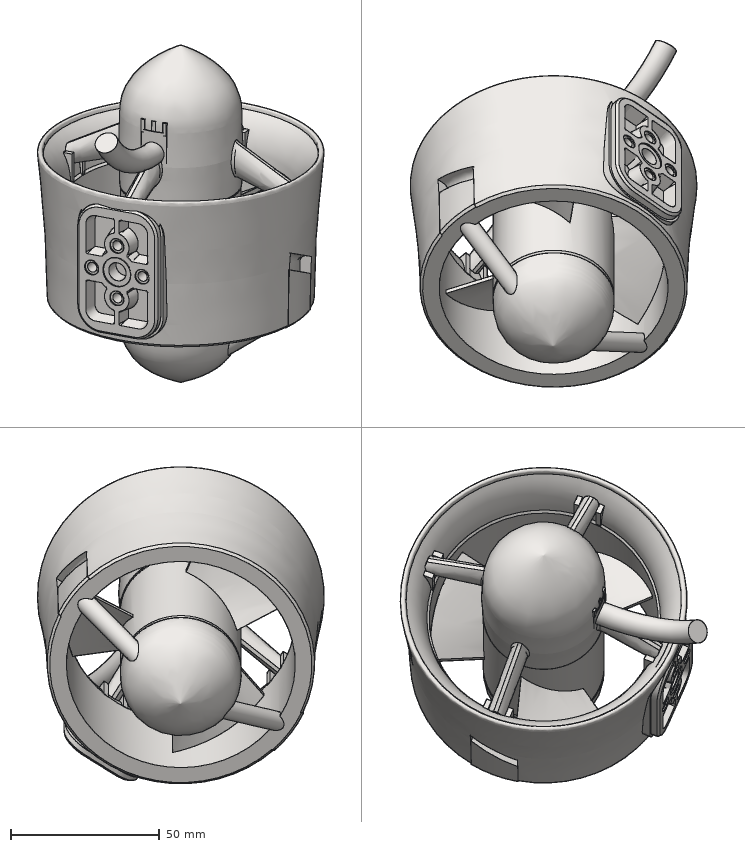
import cadquery as cq
import math

OVERLAP = 1.0

DUCT_HEIGHT = 54.0
DUCT_TOP_RADIUS = 48.385
DUCT_UPPER_BREAK_Z = 35.8
DUCT_UPPER_BREAK_RADIUS = 46.8
DUCT_LOWER_BREAK_Z = 23.3
DUCT_LOWER_BREAK_RADIUS = 45.8
DUCT_BOTTOM_RADIUS = 45.1
DUCT_BOTTOM_ROUND = 0.9
LIP_WIDTH = 2.0
LIP_HEIGHT = 1.5
THROAT_RADIUS = 38.6
THROAT_TOP_Z = 36.8
THROAT_CHAMFER = 0.8
INLET_MID_RADIUS = 41.2
INLET_MID_Z = 45.5

BODY_RADIUS = 20.6
BODY_SHOULDER_RADIUS = 21.0
BODY_SHOULDER_Z = 55.6
ROTOR_RADIUS = 20.4
ROTOR_CHAMFER = 0.6
NOSE_BASE_Z = 68.0
NOSE_LENGTH = 24.0
STATOR_BOTTOM_Z = 41.6
SEAM_DEPTH = 0.5
SEAM_HEIGHT = 0.6
ROTOR_BOTTOM_Z = -4.9
TAIL_TOP_Z = -5.7
TAIL_BASE_Z = -8.0
TAIL_LENGTH = 22.5
SHOULDER_RADIUS_FRACTION = 0.70
NOSE_SHOULDER_FRACTION = 0.585
TAIL_SHOULDER_FRACTION = 0.635
OGIVE_TIP_SLOPE = 0.5

STRUT_COUNT = 4
STRUT_WIDTH = 6.0
STRUT_RIDGE_WIDTH = 1.4
STRUT_ROOT_FLARE = 0.7
STRUT_TIP_RADIUS = 42.5
STRUT_ROOT_TOP_Z = 60.9
STRUT_TIP_TOP_Z = 49.1
STRUT_ROOT_BOTTOM_Z = 48.5
STRUT_TIP_BOTTOM_Z = 41.5
GUIDE_HALF_SPAN = 4.9
GUIDE_THICKNESS = 1.8
GUIDE_BOTTOM_Z = 31.0
GUIDE_TOP_Z = 47.3
GUIDE_DEPTH = 4.0

LEG_RADIUS = 3.3
LEG_CENTRE_AT_RIM = 36.2
LEG_SLOPE = 0.735
LEG_OUTER_RADIUS = 42.0
LEG_INNER_RADIUS = 14.0
FOOT_WIDTH = 17.0
FOOT_OFFSET = 0.4
FOOT_FACE_RADIUS = 45.4
RECESS_CENTRE_Z = 23.7
RECESS_HEIGHT = 6.2
RECESS_RISE = 7.4
RECESS_DEPTH = 4.0
RECESS_CEILING_ROUND = 2.4

BLADE_COUNT = 3
BLADE_TIP_RADIUS = 38.2
BLADE_THICKNESS = 1.8
BLADE_ROOT_Y = 15.0
BLADE_END_Y = 40.0
BLADE_HIGH_EDGE_Z = 31.5
BLADE_LOW_EDGE_Z = 12.5
BLADE_ROOT_EDGES = (9.4, -10.3)
BLADE_END_EDGES = (15.2, -22.1)

PAD_FACE_Y = -DUCT_TOP_RADIUS
PAD_CENTRE_Z = 26.7
PAD_WIDTH = 30.2
PAD_HEIGHT = 46.4
PAD_CORNER_RADIUS = 8.8
PAD_SKIRT = 0.9
PAD_SKIRT_HEIGHT = 3.0
PAD_ROOT_Y = -41.0
PAD_ROOT_RADIUS = 44.6
PAD_EDGE_CHAMFER = 0.8
SCREW_COUNT = 4
HOLE_CIRCLE_RADIUS = 9.5
SCREW_HOLE_DIAMETER = 3.5
SCREW_MOUTH_DIAMETER = 5.2
CENTRE_HOLE_DIAMETER = 6.5
CENTRE_MOUTH_DIAMETER = 10.4
MOUTH_DEPTH = 0.5
HOLE_DEPTH = 6.0
POCKET_DEPTH = 5.0
POCKET_DRAFT = 11.0
POCKET_INNER_X = 0.9
POCKET_OUTER_X = 11.6
POCKET_INNER_HEIGHT = 4.8
POCKET_OUTER_HEIGHT = 19.1
POCKET_CORNER_RADIUS = 3.5
POCKET_SMALL_RADIUS = 0.6
SCREW_BOSS_RADIUS = 4.6
CENTRE_BOSS_RADIUS = 7.4

CABLE_RADIUS = 3.95
CABLE_Z = 60.2
CABLE_BEND_START_Y = -21.8
CABLE_BEND_RADIUS = 44.6
CABLE_BEND_ANGLE = 50.5
COVER_WIDTH = 9.6
COVER_BOTTOM_Z = 56.0
COVER_PROUD = 0.35
HOOK_WIDTH = 1.4
HOOK_TOP_Z = 71.6
HOOK_FACE_Y = -20.6


def ring_solid(radius, bottom, top):
    return cq.Workplane("XY").workplane(offset=bottom).circle(radius).extrude(top - bottom)


def y_plane(y, z=0.0):
    """Sketch plane facing -Y: local x is +X, local y is +Z, extrusion runs toward -Y."""
    return cq.Workplane("XZ", origin=(0, y, z))


def box_between(x_range, y_range, z_range):
    size = [r[1] - r[0] for r in (x_range, y_range, z_range)]
    return cq.Workplane("XY").box(*size, centered=False).translate((x_range[0], y_range[0], z_range[0]))


def duct():
    lip_z = DUCT_HEIGHT - LIP_HEIGHT
    lip_inner = DUCT_TOP_RADIUS - LIP_WIDTH
    return (
        cq.Workplane("XZ")
        .moveTo(THROAT_RADIUS, 0)
        .lineTo(DUCT_BOTTOM_RADIUS - DUCT_BOTTOM_ROUND, 0)
        .lineTo(DUCT_BOTTOM_RADIUS, DUCT_BOTTOM_ROUND)
        .lineTo(DUCT_LOWER_BREAK_RADIUS, DUCT_LOWER_BREAK_Z)
        .lineTo(DUCT_UPPER_BREAK_RADIUS, DUCT_UPPER_BREAK_Z)
        .lineTo(DUCT_TOP_RADIUS, lip_z)
        .spline(
            [(DUCT_TOP_RADIUS - LIP_WIDTH / 2, DUCT_HEIGHT), (lip_inner, lip_z)],
            tangents=[(0, 1), (0, -1)],
            includeCurrent=True,
        )
        .threePointArc(
            (INLET_MID_RADIUS, INLET_MID_Z), (THROAT_RADIUS + THROAT_CHAMFER, THROAT_TOP_Z + THROAT_CHAMFER)
        )
        .lineTo(THROAT_RADIUS, THROAT_TOP_Z)
        .close()
        .revolve(360, (0, 0, 0), (0, 1, 0))
    )


def ogive(radius, base_z, signed_length, shoulder_fraction):
    """Pointed end cap; it starts parallel to the axis and meets it at an angle."""
    tip_z = base_z + signed_length
    direction = math.copysign(1, signed_length)
    shoulder = (radius * SHOULDER_RADIUS_FRACTION, base_z + signed_length * shoulder_fraction)
    return (
        cq.Workplane("XZ")
        .moveTo(0, base_z)
        .lineTo(radius, base_z)
        .spline(
            [shoulder, (0, tip_z)],
            tangents=[(0, direction), (-1, direction * OGIVE_TIP_SLOPE)],
            includeCurrent=True,
        )
        .close()
        .revolve(360, (0, 0, 0), (0, 1, 0))
    )


def centre_body():
    seam_bottom = STATOR_BOTTOM_Z - SEAM_HEIGHT
    body = (
        cq.Workplane("XZ")
        .moveTo(0, STATOR_BOTTOM_Z)
        .lineTo(BODY_RADIUS, STATOR_BOTTOM_Z)
        .lineTo(BODY_SHOULDER_RADIUS, BODY_SHOULDER_Z)
        .lineTo(BODY_RADIUS, NOSE_BASE_Z)
        .lineTo(0, NOSE_BASE_Z)
        .close()
        .revolve(360, (0, 0, 0), (0, 1, 0))
    )
    body = body.union(ogive(BODY_RADIUS, NOSE_BASE_Z, NOSE_LENGTH, NOSE_SHOULDER_FRACTION))
    body = body.union(ring_solid(ROTOR_RADIUS - SEAM_DEPTH, seam_bottom, STATOR_BOTTOM_Z))
    rotor = ring_solid(ROTOR_RADIUS, ROTOR_BOTTOM_Z, seam_bottom).faces("<Z").chamfer(ROTOR_CHAMFER)
    return body.union(rotor)


def tail_cone():
    collar = ring_solid(ROTOR_RADIUS, TAIL_BASE_Z, TAIL_TOP_Z)
    return collar.union(ogive(ROTOR_RADIUS, TAIL_BASE_Z, -TAIL_LENGTH, TAIL_SHOULDER_FRACTION))


def strut_section(radius, growth=0.0):
    """Cross-section wire at a distance from the axis: a tall lens with flat upper and lower edges."""
    along = (radius - BODY_RADIUS) / (STRUT_TIP_RADIUS - BODY_RADIUS)
    top = STRUT_ROOT_TOP_Z + along * (STRUT_TIP_TOP_Z - STRUT_ROOT_TOP_Z) + growth
    bottom = STRUT_ROOT_BOTTOM_Z + along * (STRUT_TIP_BOTTOM_Z - STRUT_ROOT_BOTTOM_Z) - growth
    half = STRUT_WIDTH / 2 + growth
    half_ridge = STRUT_RIDGE_WIDTH / 2
    middle = (top + bottom) / 2
    return (
        cq.Workplane("YZ", origin=(radius, 0, 0))
        .moveTo(-half_ridge, bottom)
        .threePointArc((-half, middle), (-half_ridge, top))
        .lineTo(half_ridge, top)
        .threePointArc((half, middle), (half_ridge, bottom))
        .close()
        .val()
    )


def upper_strut():
    """Bar along +X from the flared root at the centre body to the duct, with two posts beside its tip."""
    root = BODY_RADIUS - STRUT_ROOT_FLARE
    flare_end = BODY_SHOULDER_RADIUS + STRUT_ROOT_FLARE
    bar = cq.Workplane(cq.Solid.makeLoft([strut_section(root), strut_section(STRUT_TIP_RADIUS)], True))
    flare = cq.Solid.makeLoft([strut_section(root, STRUT_ROOT_FLARE), strut_section(flare_end)], True)
    bar = bar.union(cq.Workplane(flare))
    for side in (-1, 1):
        across = sorted((side * GUIDE_HALF_SPAN, side * (GUIDE_HALF_SPAN - GUIDE_THICKNESS)))
        post = box_between(
            (THROAT_RADIUS, THROAT_RADIUS + GUIDE_DEPTH), across, (GUIDE_BOTTOM_Z, GUIDE_TOP_Z)
        )
        bar = bar.union(post)
    return bar


def leg():
    """Round strut along +X from the duct's lower rim down to the tail cone."""
    run = LEG_INNER_RADIUS - LEG_OUTER_RADIUS
    start = cq.Vector(LEG_OUTER_RADIUS, 0, LEG_SLOPE * (LEG_OUTER_RADIUS - LEG_CENTRE_AT_RIM))
    path = cq.Vector(run, 0, LEG_SLOPE * run)
    return cq.Workplane(cq.Solid.makeCylinder(LEG_RADIUS, path.Length, start, path))


def foot_outline(top_shift):
    """Recess outline for the -X side, in local (Y, Z), from the rim to a sloping top."""
    half = FOOT_WIDTH / 2
    mid = RECESS_CENTRE_Z + top_shift
    return (
        cq.Workplane("YZ")
        .moveTo(-half - FOOT_OFFSET, 0)
        .lineTo(half - FOOT_OFFSET, 0)
        .lineTo(half - FOOT_OFFSET, mid + RECESS_RISE / 2)
        .lineTo(-half - FOOT_OFFSET, mid - RECESS_RISE / 2)
        .close()
    )


def recess_and_foot():
    """Cutter for the recess in the duct's -X wall and the foot that fills its lower part."""
    floor = FOOT_FACE_RADIUS - RECESS_DEPTH
    recess = foot_outline(0).extrude(-DUCT_TOP_RADIUS).cut(ring_solid(floor, 0, DUCT_HEIGHT))
    recess = recess.faces(">Z").edges(">X").fillet(RECESS_CEILING_ROUND)
    foot = foot_outline(-RECESS_HEIGHT).extrude(-DUCT_TOP_RADIUS)
    foot = foot.intersect(ring_solid(FOOT_FACE_RADIUS, 0, DUCT_HEIGHT).faces("<Z").chamfer(DUCT_BOTTOM_ROUND))
    return recess, foot.cut(ring_solid(floor - OVERLAP, 0, DUCT_HEIGHT))


def blade():
    """Pitched blade pointing along +Y; its +X edge is the high one."""

    def section(y, edges):
        high_x, low_x = edges
        return [
            cq.Vector(high_x, y, BLADE_HIGH_EDGE_Z),
            cq.Vector(low_x, y, BLADE_LOW_EDGE_Z),
            cq.Vector(low_x, y, BLADE_LOW_EDGE_Z - BLADE_THICKNESS),
            cq.Vector(high_x, y, BLADE_HIGH_EDGE_Z - BLADE_THICKNESS),
        ]

    root = cq.Wire.makePolygon(section(BLADE_ROOT_Y, BLADE_ROOT_EDGES), close=True)
    end = cq.Wire.makePolygon(section(BLADE_END_Y, BLADE_END_EDGES), close=True)
    plank = cq.Workplane(cq.Solid.makeLoft([root, end], True))
    return plank.intersect(ring_solid(BLADE_TIP_RADIUS, ROTOR_BOTTOM_Z, STATOR_BOTTOM_Z))


def rounded_pad(width, height, corner, face_y):
    return (
        y_plane(PAD_ROOT_Y, PAD_CENTRE_Z)
        .rect(width, height)
        .extrude(PAD_ROOT_Y - face_y)
        .edges("|Y")
        .fillet(corner)
    )


def mounting_pad():
    pad = rounded_pad(PAD_WIDTH, PAD_HEIGHT, PAD_CORNER_RADIUS, PAD_FACE_Y)
    pad = pad.faces("<Y").edges().chamfer(PAD_EDGE_CHAMFER)
    skirt = rounded_pad(
        PAD_WIDTH + 2 * PAD_SKIRT,
        PAD_HEIGHT + 2 * PAD_SKIRT,
        PAD_CORNER_RADIUS + PAD_SKIRT,
        PAD_FACE_Y + PAD_SKIRT_HEIGHT,
    )
    return pad.union(skirt).cut(ring_solid(PAD_ROOT_RADIUS, 0, DUCT_HEIGHT))


def pad_pockets():
    """Four drafted pockets, one per quarter of the pad, hollowed around the screw and centre bosses."""
    width = POCKET_OUTER_X - POCKET_INNER_X
    height = POCKET_OUTER_HEIGHT - POCKET_INNER_HEIGHT
    middle = (POCKET_INNER_X + width / 2, POCKET_INNER_HEIGHT + height / 2)
    screw_boss = cq.Location((0, HOLE_CIRCLE_RADIUS, 0), (0, 0, 180))
    outline = (
        cq.Sketch()
        .push([middle])
        .rect(width, height)
        .reset()
        .push([screw_boss])
        .circle(SCREW_BOSS_RADIUS, mode="s")
        .reset()
        .push([(0, 0)])
        .circle(CENTRE_BOSS_RADIUS, mode="s")
        .reset()
        .vertices("not (>X and >Y)")
        .fillet(POCKET_SMALL_RADIUS)
        .reset()
        .vertices(">X and >Y")
        .fillet(POCKET_CORNER_RADIUS)
    )
    face = cq.Plane(origin=(0, PAD_FACE_Y, PAD_CENTRE_Z), xDir=(-1, 0, 0), normal=(0, 1, 0))
    quarter = cq.Workplane(face).placeSketch(outline).extrude(POCKET_DEPTH, taper=POCKET_DRAFT)
    pair = quarter.union(quarter.mirror("YZ"))
    return pair.union(pair.mirror("XY", (0, 0, PAD_CENTRE_Z)))


def pad_holes():
    """Five blind holes with shallow wider mouths: one central and four on a circle around it."""
    face = y_plane(PAD_FACE_Y, PAD_CENTRE_Z)
    screws = face.polarArray(HOLE_CIRCLE_RADIUS, 0, 360, SCREW_COUNT)
    holes = screws.circle(SCREW_HOLE_DIAMETER / 2).extrude(-HOLE_DEPTH)
    holes = holes.union(screws.circle(SCREW_MOUTH_DIAMETER / 2).extrude(-MOUTH_DEPTH))
    holes = holes.union(face.circle(CENTRE_HOLE_DIAMETER / 2).extrude(-HOLE_DEPTH))
    return holes.union(face.circle(CENTRE_MOUTH_DIAMETER / 2).extrude(-MOUTH_DEPTH))


def cable():
    angle = math.radians(CABLE_BEND_ANGLE)

    def bend_point(a):
        y = CABLE_BEND_START_Y - CABLE_BEND_RADIUS * math.sin(a)
        return y, CABLE_Z + CABLE_BEND_RADIUS * (1 - math.cos(a))

    inside_y = CABLE_BEND_START_Y + BODY_RADIUS / 2
    path = (
        cq.Workplane("YZ")
        .moveTo(inside_y, CABLE_Z)
        .lineTo(CABLE_BEND_START_Y, CABLE_Z)
        .threePointArc(bend_point(angle / 2), bend_point(angle))
    )
    return y_plane(inside_y, CABLE_Z).circle(CABLE_RADIUS).sweep(path)


def cable_cover():
    """Thin plate on the body around the cable, with three hooks standing on its upper edge."""
    inner = BODY_RADIUS / 2
    half = COVER_WIDTH / 2
    cover = box_between((-half, half), (-2 * BODY_RADIUS, -inner), (COVER_BOTTOM_Z, NOSE_BASE_Z))
    cover = cover.intersect(ring_solid(BODY_RADIUS + COVER_PROUD, COVER_BOTTOM_Z, NOSE_BASE_Z))
    for x in (-half, -HOOK_WIDTH / 2, half - HOOK_WIDTH):
        hook = box_between((x, x + HOOK_WIDTH), (HOOK_FACE_Y, -inner), (NOSE_BASE_Z - OVERLAP, HOOK_TOP_Z))
        cover = cover.union(hook)
    return cover


def turned(shape, angle):
    return shape.rotate((0, 0, 0), (0, 0, 1), angle)


def thruster():
    recess, foot = recess_and_foot()
    part = duct().union(mounting_pad())
    part = part.cut(pad_pockets()).cut(pad_holes())
    for angle in (0, 180):
        part = part.cut(turned(recess, angle)).union(turned(foot, angle))
    part = part.union(centre_body()).union(tail_cone())
    strut = upper_strut()
    for i in range(STRUT_COUNT):
        part = part.union(turned(strut, i * 360 / STRUT_COUNT))
    lower_leg = leg()
    for angle in (0, 180):
        part = part.union(turned(lower_leg, angle))
    propeller_blade = blade()
    for i in range(BLADE_COUNT):
        part = part.union(turned(propeller_blade, i * 360 / BLADE_COUNT))
    return part.union(cable_cover()).union(cable())


result = thruster()